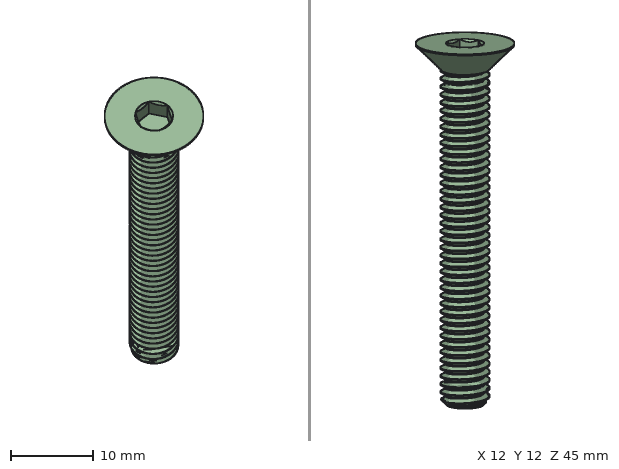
import cadquery as cq
import math

length = 45.0
head_diameter = 12.0
thread_diameter = 6.0

rim_height = 0.2
head_height = 3.3
cone_height = head_height - rim_height
head_radius = head_diameter / 2
neck_radius = head_radius - cone_height
shank_length = length - head_height

socket_across_flats = 4.0
socket_depth = 2.3
socket_across_corners = socket_across_flats / math.cos(math.radians(30))

pitches_in_length = 45
pitch = length / pitches_in_length
flank_angle = math.radians(30)
crest_width = pitch / 8
sharp_height = pitch / 2 / math.tan(flank_angle)
thread_depth = 0.75 * sharp_height
thread_radius = thread_diameter / 2
root_radius = thread_radius - thread_depth
first_crest = 0.8
run_out_turns = 2
tip_diameter = 4.4
root_overlap = 0.05


def revolve_outline(points):
    """Turn an outline of (radius, height) points around the Z axis."""
    return cq.Workplane("XZ").polyline(points).close().revolve(360, (0, 0), (0, 1))


def make_head():
    """Flat-topped cone with a thin cylindrical rim."""
    return revolve_outline([
        (0, shank_length),
        (neck_radius, shank_length),
        (head_radius, length - rim_height),
        (head_radius, length),
        (0, length),
    ])


def make_core():
    """Plain rod under the thread, reaching up into the head."""
    tip_chamfer = root_radius - tip_diameter / 2
    rod = cq.Workplane("XY").circle(root_radius).extrude(length - rim_height)
    return rod.faces("<Z").chamfer(tip_chamfer)


def make_thread_limit():
    """Space the thread may fill: below the head and inside a 45 degree chamfer at the tip.

    It is wider than the thread, so only its cone and its two ends trim the ridge.
    """
    limit_radius = head_radius
    tip_radius = tip_diameter / 2
    return revolve_outline([
        (0, 0),
        (tip_radius, 0),
        (limit_radius, limit_radius - tip_radius),
        (limit_radius, shank_length),
        (0, shank_length),
    ])


def make_thread_ridge():
    """Helical ridge that starts below the tip and ends inside the head."""
    start = first_crest - run_out_turns * pitch
    turns = math.ceil((shank_length - start) / pitch) + 1
    inner_radius = root_radius - root_overlap
    half_crest = crest_width / 2
    half_base = half_crest + (thread_radius - inner_radius) * math.tan(flank_angle)
    helix = cq.Wire.makeHelix(pitch, turns * pitch, thread_radius, center=cq.Vector(0, 0, start))
    ridge_section = cq.Workplane("XZ").polyline([
        (inner_radius, start - half_base),
        (thread_radius, start - half_crest),
        (thread_radius, start + half_crest),
        (inner_radius, start + half_base),
    ]).close()
    return ridge_section.sweep(cq.Workplane(helix), isFrenet=True)


def make_socket():
    """Hexagonal pocket with a 45 degree conical mouth that meets its corners."""
    pocket = (
        cq.Workplane("XY", origin=(0, 0, length - socket_depth))
        .transformed(rotate=(0, 0, 90))
        .polygon(6, socket_across_corners)
        .extrude(socket_depth)
    )
    mouth_radius = socket_across_corners / 2
    inscribed_radius = socket_across_flats / 2
    mouth_bottom = length - (mouth_radius - inscribed_radius)
    mouth = revolve_outline([
        (0, length),
        (mouth_radius, length),
        (inscribed_radius, mouth_bottom),
        (0, mouth_bottom),
    ])
    return pocket.union(mouth)


thread = make_thread_limit().intersect(make_thread_ridge())
screw = make_core().union(thread).union(make_head()).cut(make_socket())
result = screw.solids()